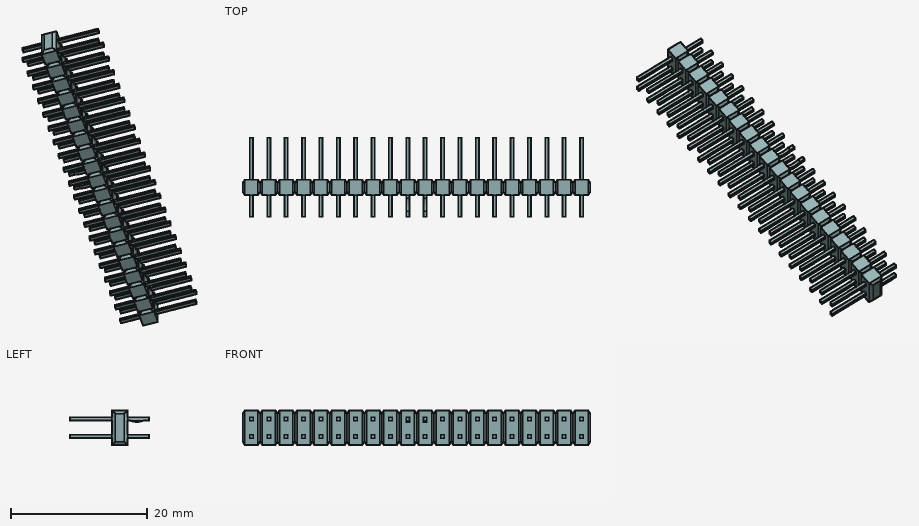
import cadquery as cq

block_count = 20
pitch = 2.55
block_height = 5.1
block_depth = 2.3
chamfer_run = 0.315
chamfer_inset = 0.5

pin_width = 0.5
pin_spacing = 2.55
pin_length = 11.6
front_reach = 3.15

bow_start = 0.8
bow_length = 1.95
bow_sag = 0.2
bowed_blocks = (block_count // 2 - 1, block_count // 2)

tip_y = -front_reach
end_y = tip_y + pin_length
flat_width = pitch - 2 * chamfer_run


def chamfered_end():
    """Tapered end of a block, narrowing from its flat sides to its end face."""
    return (
        cq.Workplane("YZ")
        .rect(block_depth, block_height)
        .workplane(offset=chamfer_run)
        .rect(block_depth - 2 * chamfer_inset, block_height - 2 * chamfer_inset)
        .loft(combine=True)
        .translate((flat_width / 2, block_depth / 2, 0))
    )


def make_block():
    """One insulator block centred on X = 0 and Z = 0."""
    middle = (
        cq.Workplane("XY")
        .box(flat_width, block_depth, block_height)
        .translate((0, block_depth / 2, 0))
    )
    right_end = chamfered_end()
    return middle.union(right_end).union(right_end.mirror("YZ"))


def make_pin(bowed):
    """One pin centred on X = 0 and Z = 0, straight or with a bow near its tip."""
    half = pin_width / 2
    profile = cq.Workplane("YZ").moveTo(tip_y, half)
    bow_near = tip_y + bow_start
    bow_mid = bow_near + bow_length / 2
    bow_far = bow_near + bow_length
    if bowed:
        profile = profile.lineTo(bow_near, half)
        profile = profile.threePointArc((bow_mid, half - bow_sag), (bow_far, half))
    profile = profile.lineTo(end_y, half).lineTo(end_y, -half)
    if bowed:
        profile = profile.lineTo(bow_far, -half)
        profile = profile.threePointArc((bow_mid, -half - bow_sag), (bow_near, -half))
    return profile.lineTo(tip_y, -half).close().extrude(half, both=True)


block = make_block()
straight_pin = make_pin(bowed=False)
bowed_pin = make_pin(bowed=True)

result = cq.Workplane("XY")
for index in range(block_count):
    x = (index - (block_count - 1) / 2) * pitch
    upper_pin = bowed_pin if index in bowed_blocks else straight_pin
    result = (
        result.union(block.translate((x, 0, 0)))
        .union(straight_pin.translate((x, 0, -pin_spacing / 2)))
        .union(upper_pin.translate((x, 0, pin_spacing / 2)))
    )